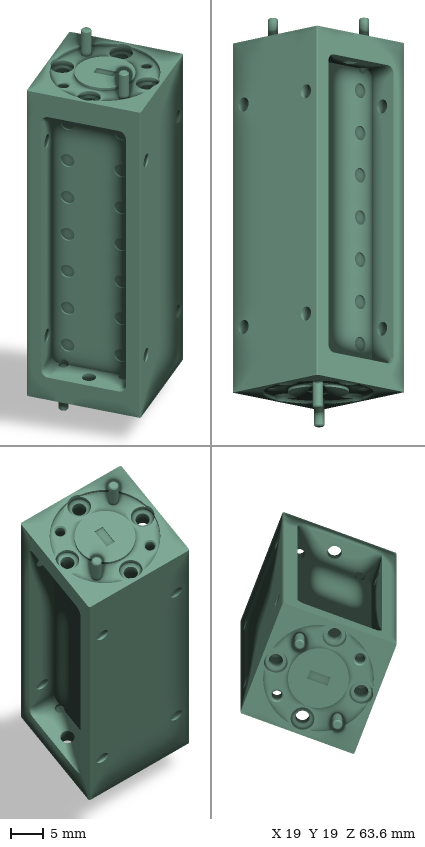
import cadquery as cq
import math

total_length = 63.6
block_width = 19.0
block_length = 55.75
half_width = block_width / 2
half_length = block_length / 2
edge_chamfer = 0.16
split_y = 0.8

ring_outer_radius = 8.65
boss_radius = 4.8
ring_depth = 0.5
bolt_circle_radius = 7.1
dowel_offset = bolt_circle_radius * math.sin(math.radians(45))
counterbore_radius = 1.85
counterbore_depth = 1.35
screw_hole_diameter = 2.2
screw_hole_radius = screw_hole_diameter / 2
blind_screw_depth = 7.65
drill_tip_angle = 118.0

mouth_width = 3.4
mouth_height = 1.5
mouth_depth = 0.25

pin_diameter = 1.6
pin_radius = pin_diameter / 2
pin_chamfer = 0.2
pin_projection = (total_length - block_length) / 2
pin_insertion = 3.8
open_dowel_depth = 4.95
open_dowel_countersink = 0.22
pinned_hole_depth = 4.6
pinned_hole_countersink = 0.095

pocket_width = 14.1
pocket_length = 47.6
pocket_depth = 4.8
pocket_corner_radius = 1.2

recess_rows = 7
recess_pitch = 6.75
recess_column_spacing = 9.0
recess_radius = 1.15
recess_depth = 0.3

cross_hole_radius = screw_hole_radius
cross_hole_y = 7.0
cross_hole_z = 17.75


def cylinder_from_top(x, y, radius, depth):
    """Cylinder reaching down from the top face of the block."""
    return (cq.Workplane("XY").workplane(offset=half_length - depth)
            .center(x, y).circle(radius).extrude(depth))


def drilled_hole(x, y, radius, depth):
    """Blind drilled hole from the top face, with a conical bottom below its full-width depth."""
    tip_height = radius / math.tan(math.radians(drill_tip_angle / 2))
    floor_z = half_length - depth
    profile = (cq.Workplane("XZ")
               .moveTo(0, half_length)
               .lineTo(radius, half_length)
               .lineTo(radius, floor_z)
               .lineTo(0, floor_z - tip_height)
               .close())
    return profile.revolve(360, (0, 0, 0), (0, 1, 0)).translate((x, y, 0))


def dowel_hole(x, y, depth, countersink):
    """Drilled dowel hole with a 45 degree countersink at its mouth in the floor of the ring groove."""
    mouth = (cylinder_from_top(x, y, pin_radius + countersink, ring_depth + countersink)
             .faces("<Z").chamfer(countersink))
    return drilled_hole(x, y, pin_radius, depth).union(mouth)


def for_both_ends(end_part):
    """Top-end shape together with its copy turned half a turn about Y onto the bottom end."""
    return [end_part, end_part.rotate((0, 0, 0), (0, 1, 0), 180)]


def flange_cuts():
    """All material removed from the top end of the block."""
    cuts = cylinder_from_top(0, 0, ring_outer_radius, ring_depth)
    cuts = cuts.cut(cylinder_from_top(0, 0, boss_radius, ring_depth))
    for side in (-1, 1):
        bolt_place = side * bolt_circle_radius
        dowel_place = side * dowel_offset
        cuts = cuts.union(cylinder_from_top(bolt_place, 0, counterbore_radius, counterbore_depth))
        cuts = cuts.union(drilled_hole(bolt_place, 0, screw_hole_radius, blind_screw_depth))
        cuts = cuts.union(cylinder_from_top(0, bolt_place, counterbore_radius, counterbore_depth))
        cuts = cuts.union(cylinder_from_top(0, bolt_place, screw_hole_radius, half_length))
        cuts = cuts.union(dowel_hole(dowel_place, dowel_place, open_dowel_depth,
                                     open_dowel_countersink))
        cuts = cuts.union(dowel_hole(dowel_place, -dowel_place, pinned_hole_depth,
                                     pinned_hole_countersink))
    return cuts


def mouth_cut():
    """Shallow rectangular waveguide mouth in the top end, lying against the split."""
    return (cq.Workplane("XY").workplane(offset=half_length - mouth_depth)
            .center(0, split_y - mouth_height / 2)
            .rect(mouth_width, mouth_height).extrude(mouth_depth))


def pocket_cut(side):
    """Round-cornered pocket sunk from the -Y face (side = -1) or the +Y face (side = 1)."""
    middle_y = side * (half_width - pocket_depth / 2)
    return (cq.Workplane("XY").box(pocket_width, pocket_depth, pocket_length)
            .edges("|Y").fillet(pocket_corner_radius)
            .translate((0, middle_y, 0)))


def floor_recess_cuts():
    """Two columns of round recesses in the floor of the front pocket."""
    floor_y = pocket_depth - half_width
    return (cq.Workplane("XZ", origin=(0, floor_y, 0))
            .rarray(recess_column_spacing, recess_pitch, 2, recess_rows)
            .circle(recess_radius).extrude(-recess_depth))


def cross_hole_cuts():
    """Four holes running across the whole block along X."""
    return (cq.Workplane("YZ", origin=(-half_width, 0, 0))
            .rect(2 * cross_hole_y, 2 * cross_hole_z, forConstruction=True).vertices()
            .circle(cross_hole_radius).extrude(block_width))


def whole_block():
    """The block before splitting, with every feature that both halves share."""
    block = cq.Workplane("XY").box(block_width, block_width, block_length)
    block = block.edges("|Z").chamfer(edge_chamfer)
    for end_cuts in for_both_ends(flange_cuts()):
        block = block.cut(end_cuts)
    for side in (-1, 1):
        block = block.cut(pocket_cut(side))
    return block.cut(cross_hole_cuts())


def split_side(from_y, to_y):
    """Box holding the slice of the block between two Y values."""
    return (cq.Workplane("XY").box(block_width, to_y - from_y, block_length)
            .translate((0, (from_y + to_y) / 2, 0)))


def make_front_half(block):
    half = block.intersect(split_side(-half_width, split_y))
    for mouth in for_both_ends(mouth_cut()):
        half = half.cut(mouth)
    return half.cut(floor_recess_cuts())


def make_rear_half(block):
    return block.intersect(split_side(split_y, half_width))


def make_pin(x, y):
    """Dowel pin standing in the top end of the block, chamfered at both tips."""
    pin = (cq.Workplane("XY").workplane(offset=half_length - pin_insertion)
           .circle(pin_radius).extrude(pin_insertion + pin_projection)
           .faces("<Z or >Z").chamfer(pin_chamfer))
    return pin.translate((x, y, 0))


block = whole_block()
front_half = make_front_half(block)
rear_half = make_rear_half(block)

dowel_pins = []
for side in (-1, 1):
    dowel_pins += for_both_ends(make_pin(side * dowel_offset, -side * dowel_offset))

result = cq.Compound.makeCompound(
    [front_half.val(), rear_half.val(), *[pin.val() for pin in dowel_pins]])